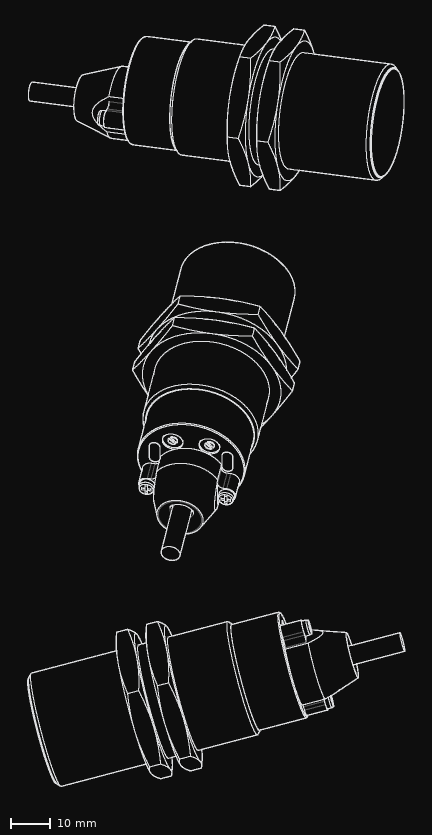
import cadquery as cq
import math


TOTAL_LENGTH = 95.5
THREAD_DIA = 30.0
THREAD_CHAMFER_DIA = 28.4
THREAD_START = 41.5
THREAD_CHAMFER = (THREAD_DIA - THREAD_CHAMFER_DIA) / 2
FRONT_DISC_LENGTH = 0.3
FRONT_DISC_DIA = 27.8
NECK_DIA = 28.0

REAR_FACE = 28.8
REAR_FACE_DIA = 27.5
REAR_CHAMFER_LENGTH = 0.3

CABLE_AXIS_Z = -4.2
CABLE_DIA = 5.0
GLAND_START = 13.3
GLAND_TIP_RADIUS = 6.0
GLAND_SHOULDER = 23.3
GLAND_UPPER_RADIUS = 9.5
GLAND_LOWER_RADIUS = 9.3
GLAND_FLAT_Y = 7.9
GLAND_BORE_DIA = 6.2
GLAND_BORE_DEPTH = 4.8
GLAND_LIP_WIDTH = 0.4

EAR_Y = 10.3
EAR_RADIUS = 2.3
EAR_FILLET = 1.4
SCREW_HEAD_DIA = 4.0
SCREW_HEAD_START = 21.6
SCREW_HEAD_CHAMFER_LENGTH = 0.6
SCREW_HEAD_TIP_DIA = 3.6
CROSS_LENGTH = 2.5
CROSS_WIDTH = 0.7
CROSS_DEPTH = 0.6

ADJUSTER_Y = 4.8
ADJUSTER_Z = 7.0
ADJUSTER_RECESS_DIA = 5.35
ADJUSTER_RECESS_DEPTH = 0.5
ADJUSTER_DIA = 2.5
ADJUSTER_HEIGHT = 0.3
ADJUSTER_SLOT_WIDTH = 0.7
ADJUSTER_SLOT_ANGLE = 45
WINDOW_Y = 9.5
WINDOW_Z = 2.2
WINDOW_WIDTH = 2.8
WINDOW_HEIGHT = 6.9
WINDOW_DEPTH = 0.1

NUT_ACROSS_FLATS = 36.0
NUT_ACROSS_CORNERS = NUT_ACROSS_FLATS / math.cos(math.radians(30))
NUT_THICKNESS = 5.0
NUT_STARTS = (58.1, 66.0)
NUT_CHAMFER_ANGLE = 20

SIDES = (-1, 1)


def at(x, y=0, z=0):
    """Workplane facing +X; its local axes are +Y and +Z."""
    return cq.Workplane("YZ", origin=(x, y, z))


def rod(start, end, diameter, y=0, z=0):
    return at(start, y, z).circle(diameter / 2).extrude(end - start)


def turned(profile, axis_z=0):
    """Revolve (x, radius) points about a line parallel to X."""
    plane = cq.Workplane("XY", origin=(0, 0, axis_z))
    return plane.polyline(profile).close().revolve(360, (0, 0), (1, 0))


def tipped_rod(start, end, diameter, tip_diameter, chamfer_length, y=0, z=0):
    """Rod whose start face is reduced to tip_diameter by a chamfer of the given length."""
    profile = [
        (start, 0),
        (start, tip_diameter / 2),
        (start + chamfer_length, diameter / 2),
        (end, diameter / 2),
        (end, 0),
    ]
    return turned(profile).translate((0, y, z))


def housing_shell():
    thread_end = TOTAL_LENGTH - FRONT_DISC_LENGTH
    neck = tipped_rod(REAR_FACE, THREAD_START, NECK_DIA, REAR_FACE_DIA, REAR_CHAMFER_LENGTH)
    thread = rod(THREAD_START, thread_end, THREAD_DIA).faces("<X or >X").chamfer(THREAD_CHAMFER)
    front_disc = rod(thread_end, TOTAL_LENGTH, FRONT_DISC_DIA)
    return neck.union(thread).union(front_disc)


def gland_half(radius, side):
    """Upper (side = 1) or lower (side = -1) half of the gland; both share one cone."""
    slope = (GLAND_UPPER_RADIUS - GLAND_TIP_RADIUS) / (GLAND_SHOULDER - GLAND_START)
    shoulder = GLAND_START + (radius - GLAND_TIP_RADIUS) / slope
    profile = [
        (GLAND_START, 0),
        (GLAND_START, GLAND_TIP_RADIUS),
        (shoulder, radius),
        (REAR_FACE, radius),
        (REAR_FACE, 0),
    ]
    length = REAR_FACE - GLAND_START
    half_block = cq.Workplane("XY").box(length, 2 * GLAND_FLAT_Y, radius, centered=(False, True, True))
    half_block = half_block.translate((GLAND_START, 0, CABLE_AXIS_Z + side * radius / 2))
    return turned(profile, CABLE_AXIS_Z).intersect(half_block)


def gland_mouth():
    """Cable bore that flares out to the gland tip in a quarter-round."""
    bore_radius = GLAND_BORE_DIA / 2
    flare = GLAND_TIP_RADIUS - GLAND_LIP_WIDTH - bore_radius
    diagonal = flare * (1 - math.sqrt(0.5))
    bore_end = GLAND_START + GLAND_BORE_DEPTH
    return (
        cq.Workplane("XY", origin=(0, 0, CABLE_AXIS_Z))
        .moveTo(GLAND_START, 0)
        .lineTo(GLAND_START, bore_radius + flare)
        .threePointArc(
            (GLAND_START + diagonal, bore_radius + diagonal),
            (GLAND_START + flare, bore_radius),
        )
        .lineTo(bore_end, bore_radius)
        .lineTo(bore_end, 0)
        .close()
        .revolve(360, (0, 0), (1, 0))
    )


def gland():
    upper = gland_half(GLAND_UPPER_RADIUS, 1)
    lower = gland_half(GLAND_LOWER_RADIUS, -1)
    return upper.union(lower).cut(gland_mouth())


def ear(side):
    """Clamp ear that blends into the gland flat through two concave fillets."""
    root = GLAND_FLAT_Y
    fillet_start = root + EAR_FILLET
    root_half = EAR_RADIUS + EAR_FILLET
    diagonal = EAR_FILLET * (1 - math.sqrt(0.5))
    fillet_middle = (root + diagonal, EAR_RADIUS + diagonal)
    outline = (
        at(GLAND_SHOULDER, 0, CABLE_AXIS_Z)
        .moveTo(side * root, -root_half)
        .threePointArc((side * fillet_middle[0], -fillet_middle[1]), (side * fillet_start, -EAR_RADIUS))
        .lineTo(side * EAR_Y, -EAR_RADIUS)
        .threePointArc((side * (EAR_Y + EAR_RADIUS), 0), (side * EAR_Y, EAR_RADIUS))
        .lineTo(side * fillet_start, EAR_RADIUS)
        .threePointArc((side * fillet_middle[0], fillet_middle[1]), (side * root, root_half))
        .close()
    )
    return outline.extrude(REAR_FACE - GLAND_SHOULDER)


def screw_head(side):
    y = side * EAR_Y
    head = tipped_rod(
        SCREW_HEAD_START,
        GLAND_SHOULDER,
        SCREW_HEAD_DIA,
        SCREW_HEAD_TIP_DIA,
        SCREW_HEAD_CHAMFER_LENGTH,
        y,
        CABLE_AXIS_Z,
    )
    cross = at(SCREW_HEAD_START, y, CABLE_AXIS_Z).rect(CROSS_LENGTH, CROSS_WIDTH).extrude(CROSS_DEPTH)
    upright = at(SCREW_HEAD_START, y, CABLE_AXIS_Z).rect(CROSS_WIDTH, CROSS_LENGTH).extrude(CROSS_DEPTH)
    return head.cut(cross).cut(upright)


def adjuster_recess(side):
    """Round recess to remove, leaving the slotted adjuster standing on its floor."""
    y = side * ADJUSTER_Y
    floor = REAR_FACE + ADJUSTER_RECESS_DEPTH
    top = floor - ADJUSTER_HEIGHT
    recess = rod(REAR_FACE, floor, ADJUSTER_RECESS_DIA, y, ADJUSTER_Z)
    slot = (
        at(top, y, ADJUSTER_Z)
        .transformed(rotate=(0, 0, ADJUSTER_SLOT_ANGLE))
        .rect(ADJUSTER_DIA, ADJUSTER_SLOT_WIDTH)
        .extrude(ADJUSTER_HEIGHT)
    )
    adjuster = rod(top, floor, ADJUSTER_DIA, y, ADJUSTER_Z).cut(slot)
    return recess.cut(adjuster)


def window_recess(side):
    plane = at(REAR_FACE, side * WINDOW_Y, WINDOW_Z)
    return plane.slot2D(WINDOW_HEIGHT, WINDOW_WIDTH, 90).extrude(WINDOW_DEPTH)


def sensor():
    """Housing with its rear-face details, gland, clamp screws and cable as one solid."""
    body = housing_shell()
    for side in SIDES:
        body = body.cut(adjuster_recess(side)).cut(window_recess(side))
    body = body.union(gland())
    for side in SIDES:
        body = body.union(ear(side)).union(screw_head(side))
    cable = rod(0, GLAND_START + GLAND_BORE_DEPTH, CABLE_DIA, 0, CABLE_AXIS_Z)
    return body.union(cable)


def nut(start):
    """Hexagon nut with both faces chamfered at the corners."""
    end = start + NUT_THICKNESS
    flat_radius = NUT_ACROSS_FLATS / 2
    corner_radius = NUT_ACROSS_CORNERS / 2
    chamfer = (corner_radius - flat_radius) * math.tan(math.radians(NUT_CHAMFER_ANGLE))
    envelope = turned([
        (start, 0),
        (start, flat_radius),
        (start + chamfer, corner_radius),
        (end - chamfer, corner_radius),
        (end, flat_radius),
        (end, 0),
    ])
    hexagon = at(start).polygon(6, NUT_ACROSS_CORNERS).extrude(NUT_THICKNESS)
    return hexagon.intersect(envelope).cut(rod(start, end, THREAD_DIA))


sensor_body = sensor()
nuts = [nut(start) for start in NUT_STARTS]

result = cq.Compound.makeCompound([sensor_body.val(), *[body.val() for body in nuts]])